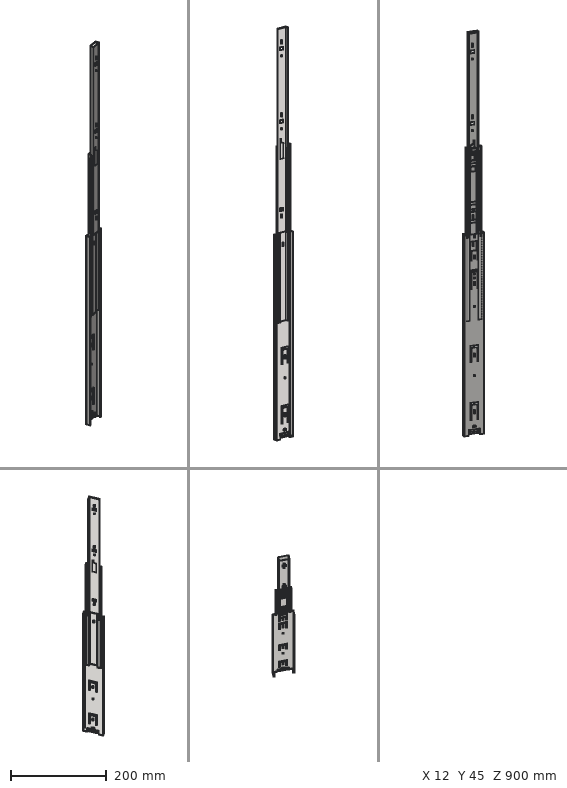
import cadquery as cq

SHEET = 1.35
RAIL_LENGTH = 450.0
CUT_DEPTH = 9.0

OUTER_WEB_X = -6.0
OUTER_EDGE_X = 4.05
OUTER_HALF_WIDTH = 22.5
OUTER_LIP = 2.0
CORNER_RADIUS = 1.0

MIDDLE_WEB_X = -4.05
MIDDLE_EDGE_X = 3.0
MIDDLE_HALF_WIDTH = 17.0
MIDDLE_TOP = 193.5
MIDDLE_BOTTOM = -MIDDLE_TOP
RECESS_MOUTH_HALF_WIDTH = 9.45
RECESS_FLOOR_HALF_WIDTH = 7.0
RECESS_DEPTH = 4.5
RECESS_TOP = 179.0

INNER_WEB_X = 6.0
INNER_EDGE_X = -2.0
INNER_HALF_WIDTH = 12.0
END_TAB_HALF_WIDTH = 10.35
END_TAB_EDGE_X = -3.0

SCREW_HOLE = 3.15
SLOT_WIDTH = 3.15
SLOT_LENGTH = 8.0
CROSS_SLOT_HEIGHT = 6.0
INNER_CROSS_SLOT_LENGTH = 8.0
MIDDLE_CROSS_SLOT_LENGTH = 13.5

TONGUE_WINDOWS = [
    (-16.0, -37.0, -58.5, -51.0),
    (-80.0, -84.0, -122.0, -111.0),
    (-249.0, -254.0, -285.0, -271.0),
    (-377.0, -382.0, -416.0, -398.0),
]
WINDOW_HALF_WIDTH = 9.0
TONGUE_HALF_WIDTH = 6.0
TONGUE_CORNER = 3.0
OUTER_HOLES_Z = (-89.0, -98.0, -162.0, -317.0)
TOP_NOTCH_DEPTH = 8.0
SIDE_NOTCH_Y = 14.85
SIDE_NOTCH_DEPTH = 6.0

END_NOTCH_HALF_WIDTH = 13.0
END_NOTCH_HEIGHT = 13.0
STOP_HALF_WIDTH = 10.0
STOP_HEIGHT = 9.0
STOP_EAR_HEIGHT = 4.5
STOP_EAR_X = -5.0
STOP_EDGE_X = -4.5
ARCH_HOLE_RADIUS = 4.0
ARCH_HOLE_Z = -432.0

BUMPER_BOTTOM = 184.5
BUMPER_HALF_WIDTH = 9.0
BUMPER_TAB_HALF_WIDTH = 5.0
BUMPER_SHOULDER_Z = 188.0
BUMPER_TOP = 191.0
BUMPER_EDGE_X = 2.25

LEVER_THICKNESS = 2.0
LEVER_TOP = 206.0
LEVER_SHOULDER_Z = 195.0
LEVER_BOTTOM = 162.0
LEVER_HALF_WIDTH = 4.5
LEVER_ARM_WIDTH = 3.15

LEVER_WINDOW_Z = (162.0, 175.0)
LEVER_WINDOW_HALF_WIDTH = 5.0
THROUGH_CROSS_SLOT_Z = 50.0
THROUGH_SLOT_Z = 36.0
MIDDLE_CROSS_SLOTS_Z = (153.0, 67.0, THROUGH_CROSS_SLOT_Z, 26.0)
MIDDLE_SLOTS_Z = (THROUGH_SLOT_Z, -25.0)
MIDDLE_WINDOW_Z = (138.0, 148.5)

INNER_GROUPS_Z = (404.0, 244.0)
SLOT_ABOVE = 14.0
HOLE_BELOW = 16.0

CAGE_STRIP_Y = (12.15, 15.0)
CAGE_EDGE_X = 4.05
CAGE_BRIDGE_THICKNESS = 1.0
CAGE_BOTTOM = 4.5
CAGE_TOP = 184.0
CAGE_BRIDGE_BOTTOM = 180.0


def block(x_range, y_range, z_range):
    """Box between the given limits."""
    sizes = [abs(limits[1] - limits[0]) for limits in (x_range, y_range, z_range)]
    centre = tuple((limits[0] + limits[1]) / 2 for limits in (x_range, y_range, z_range))
    return cq.Workplane("XY").box(*sizes).translate(centre)


def channel(web_x, edge_x, half_width, z_range):
    """U-shaped rail with its web at web_x and two flanges reaching edge_x."""
    web_inside = web_x + (SHEET if edge_x > web_x else -SHEET)
    rail = block((web_x, edge_x), (-half_width, half_width), z_range)
    corner_side = "<X" if edge_x > web_x else ">X"
    rail = rail.faces(corner_side).edges("|Z").fillet(CORNER_RADIUS)
    inside = half_width - SHEET
    return rail.cut(block((web_inside, edge_x), (-inside, inside), z_range))


def web_window(web_x, half_width, z_range, y=0.0):
    """Cutter for a rectangular opening through a web."""
    return block((web_x - CUT_DEPTH, web_x + CUT_DEPTH), (y - half_width, y + half_width), z_range)


def web_slot(web_x, z, length, width):
    """Cutter for a round-ended slot along Z through a web."""
    plane = cq.Workplane("YZ").workplane(offset=web_x - CUT_DEPTH).center(0, z)
    return plane.slot2D(length, width, 90).extrude(2 * CUT_DEPTH)


def web_hole(web_x, z, diameter):
    """Cutter for a round hole through a web."""
    plane = cq.Workplane("YZ").workplane(offset=web_x - CUT_DEPTH).center(0, z)
    return plane.circle(diameter / 2).extrude(2 * CUT_DEPTH)


def tongue_window(top, tip, bottom, slot_z):
    """Cutter that leaves a slotted tongue rising from the window's lower edge."""
    window = web_window(OUTER_WEB_X, WINDOW_HALF_WIDTH, (bottom, top))
    tongue = web_window(OUTER_WEB_X, TONGUE_HALF_WIDTH, (bottom, tip))
    tongue = tongue.edges("|X and >Z").fillet(TONGUE_CORNER)
    slot = web_slot(OUTER_WEB_X, slot_z, SLOT_LENGTH, SLOT_WIDTH)
    return window.cut(tongue).union(slot)


def cross_slot(web_x, z, length):
    """Cutter for a rectangular slot lying across a web."""
    z_range = (z - CROSS_SLOT_HEIGHT / 2, z + CROSS_SLOT_HEIGHT / 2)
    return web_window(web_x, length / 2, z_range)


def make_outer_rail():
    """Lipped channel with tongue windows, holes and notches in its web."""
    rail = channel(OUTER_WEB_X, OUTER_EDGE_X, OUTER_HALF_WIDTH, (-RAIL_LENGTH, 0))
    for side in (-1, 1):
        inside = OUTER_HALF_WIDTH - SHEET - OUTER_LIP
        lip_x = (OUTER_EDGE_X - SHEET, OUTER_EDGE_X)
        rail = rail.union(block(lip_x, (side * inside, side * OUTER_HALF_WIDTH), (-RAIL_LENGTH, 0)))
    for window in TONGUE_WINDOWS:
        rail = rail.cut(tongue_window(*window))
    for z in OUTER_HOLES_Z:
        rail = rail.cut(web_hole(OUTER_WEB_X, z, SCREW_HOLE))
    rail = rail.cut(web_window(OUTER_WEB_X, SLOT_WIDTH / 2, (-TOP_NOTCH_DEPTH, 0)))
    for side in (-1, 1):
        notch_z = (-SIDE_NOTCH_DEPTH, 0)
        rail = rail.cut(web_window(OUTER_WEB_X, SLOT_WIDTH / 2, notch_z, side * SIDE_NOTCH_Y))
    end_notch_z = (-RAIL_LENGTH, END_NOTCH_HEIGHT - RAIL_LENGTH)
    rail = rail.cut(web_window(OUTER_WEB_X, END_NOTCH_HALF_WIDTH, end_notch_z))
    return rail.cut(make_arch_hole())


def make_arch_hole():
    """Cutter for a half-round hole above the end notch."""
    plane = cq.Workplane("YZ").workplane(offset=OUTER_WEB_X - CUT_DEPTH).center(0, ARCH_HOLE_Z)
    arch = plane.moveTo(-ARCH_HOLE_RADIUS, 0).threePointArc((0, ARCH_HOLE_RADIUS), (ARCH_HOLE_RADIUS, 0))
    return arch.close().extrude(2 * CUT_DEPTH)


def make_end_stop():
    """Stop that fills the upper part of the outer rail's end notch."""
    top = END_NOTCH_HEIGHT - RAIL_LENGTH
    body_z = (top - STOP_HEIGHT, top - STOP_EAR_HEIGHT)
    body = block((OUTER_WEB_X, STOP_EDGE_X), (-STOP_HALF_WIDTH, STOP_HALF_WIDTH), body_z)
    ears_y = (-END_NOTCH_HALF_WIDTH, END_NOTCH_HALF_WIDTH)
    ears = block((STOP_EAR_X, STOP_EDGE_X), ears_y, (top - STOP_EAR_HEIGHT, top))
    return body.union(ears)


def trough(mouth_x, floor_x, margin, z_range):
    """Sloping-sided bar shaped like the pressed recess, widened by margin on each side."""
    mouth_y = RECESS_MOUTH_HALF_WIDTH + margin
    floor_y = RECESS_FLOOR_HALF_WIDTH + margin
    outline = [(mouth_x, -mouth_y), (floor_x, -floor_y), (floor_x, floor_y), (mouth_x, mouth_y)]
    plane = cq.Workplane("XY").workplane(offset=z_range[0])
    return plane.polyline(outline).close().extrude(z_range[1] - z_range[0])


def make_middle_rail():
    """Channel with a pressed recess along its web and openings in the recess floor."""
    z_range = (MIDDLE_BOTTOM, MIDDLE_TOP)
    rail = channel(MIDDLE_WEB_X, MIDDLE_EDGE_X, MIDDLE_HALF_WIDTH, z_range)
    recess_z = (MIDDLE_BOTTOM, RECESS_TOP)
    floor_x = MIDDLE_WEB_X + RECESS_DEPTH
    shell = trough(MIDDLE_WEB_X, floor_x + SHEET, SHEET, recess_z)
    rail = rail.union(shell).cut(trough(MIDDLE_WEB_X, floor_x, 0, recess_z))
    rail = rail.cut(web_window(MIDDLE_WEB_X, BUMPER_HALF_WIDTH, (BUMPER_BOTTOM, MIDDLE_TOP)))
    rail = rail.cut(web_window(floor_x, LEVER_WINDOW_HALF_WIDTH, LEVER_WINDOW_Z))
    rail = rail.cut(web_window(floor_x, LEVER_WINDOW_HALF_WIDTH, MIDDLE_WINDOW_Z))
    for z in MIDDLE_CROSS_SLOTS_Z:
        rail = rail.cut(cross_slot(floor_x, z, MIDDLE_CROSS_SLOT_LENGTH))
    for z in MIDDLE_SLOTS_Z:
        rail = rail.cut(web_slot(floor_x, z, SLOT_LENGTH, SLOT_WIDTH))
    return rail


def make_bumper():
    """Stepped block in the notch at the upper end of the middle web."""
    x_range = (MIDDLE_WEB_X, BUMPER_EDGE_X)
    base = block(x_range, (-BUMPER_HALF_WIDTH, BUMPER_HALF_WIDTH), (BUMPER_BOTTOM, BUMPER_SHOULDER_Z))
    tab = block(x_range, (-BUMPER_TAB_HALF_WIDTH, BUMPER_TAB_HALF_WIDTH), (BUMPER_BOTTOM, BUMPER_TOP))
    return base.union(tab)


def make_inner_rail():
    """Channel closed at its upper end by a bent tab, with two groups of mounting holes."""
    rail = channel(INNER_WEB_X, INNER_EDGE_X, INNER_HALF_WIDTH, (0, RAIL_LENGTH))
    tab_y = (-END_TAB_HALF_WIDTH, END_TAB_HALF_WIDTH)
    tab_z = (RAIL_LENGTH - SHEET, RAIL_LENGTH)
    rail = rail.union(block((END_TAB_EDGE_X, INNER_WEB_X), tab_y, tab_z))
    for z in INNER_GROUPS_Z:
        rail = rail.cut(web_slot(INNER_WEB_X, z + SLOT_ABOVE, SLOT_LENGTH, SLOT_WIDTH))
        rail = rail.cut(cross_slot(INNER_WEB_X, z, INNER_CROSS_SLOT_LENGTH))
        rail = rail.cut(web_hole(INNER_WEB_X, z - HOLE_BELOW, SCREW_HOLE))
    rail = rail.cut(cross_slot(INNER_WEB_X, THROUGH_CROSS_SLOT_Z, INNER_CROSS_SLOT_LENGTH))
    return rail.cut(web_slot(INNER_WEB_X, THROUGH_SLOT_Z, SLOT_LENGTH, SLOT_WIDTH))


def make_lever():
    """Flat lever with a narrow arm at its upper end, on the -Y side."""
    back_x = INNER_WEB_X - SHEET
    outline = [
        (-LEVER_HALF_WIDTH, LEVER_BOTTOM),
        (LEVER_HALF_WIDTH, LEVER_BOTTOM),
        (LEVER_HALF_WIDTH, LEVER_SHOULDER_Z),
        (LEVER_ARM_WIDTH - LEVER_HALF_WIDTH, LEVER_SHOULDER_Z + LEVER_ARM_WIDTH),
        (LEVER_ARM_WIDTH - LEVER_HALF_WIDTH, LEVER_TOP),
        (-LEVER_HALF_WIDTH, LEVER_TOP),
    ]
    return cq.Workplane("YZ").workplane(offset=back_x).polyline(outline).close().extrude(-LEVER_THICKNESS)


def make_cage():
    """Two strips in the gaps beside the inner rail and the bridge that joins their upper ends."""
    back_x = MIDDLE_WEB_X + SHEET
    inside, outside = CAGE_STRIP_Y
    bridge_x = (back_x, back_x + CAGE_BRIDGE_THICKNESS)
    cage = block(bridge_x, (-outside, outside), (CAGE_BRIDGE_BOTTOM, CAGE_TOP))
    for side in (-1, 1):
        y_range = (side * inside, side * outside)
        cage = cage.union(block((back_x, CAGE_EDGE_X), y_range, (CAGE_BOTTOM, CAGE_TOP)))
    return cage


outer_rail = make_outer_rail()
end_stop = make_end_stop()
middle_rail = make_middle_rail()
bumper = make_bumper()
inner_rail = make_inner_rail()
lever = make_lever()
cage = make_cage()

result = cq.Compound.makeCompound([
    outer_rail.val(),
    end_stop.val(),
    middle_rail.val(),
    bumper.val(),
    inner_rail.val(),
    lever.val(),
    cage.val(),
])